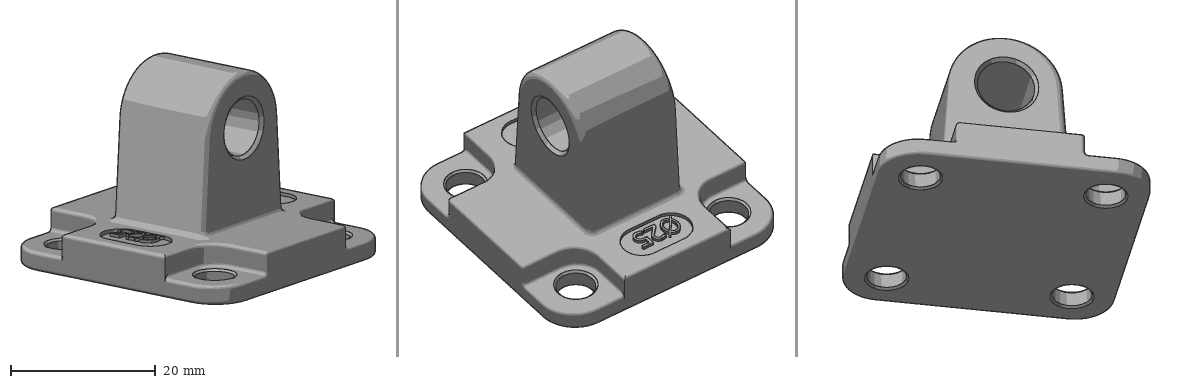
import cadquery as cq
import math

PLATE_SIDE = 38.0
PLATE_HEIGHT = 6.0
PLATE_CORNER_RADIUS = 5.5
EDGE_ROUND = 0.5

HOLE_OFFSET = 13.0
HOLE_DIAMETER = 5.5
HOLE_CHAMFER = 0.3
STEP_HEIGHT = 2.7
STEP_WALL_RADIUS = 4.0
STEP_WALL = HOLE_OFFSET - STEP_WALL_RADIUS
RIM_DIAGONAL = PLATE_SIDE / 2 - PLATE_CORNER_RADIUS * (1 - math.sqrt(0.5))

TOTAL_HEIGHT = 28.0
LUG_WIDTH = 16.0
LUG_TOP_RADIUS = LUG_WIDTH / 2
LUG_TAPER = 4.0
LUG_EDGE_ROUND = 1.0
LUG_FOOT_ROUND = 1.0
SEAM_REACH = 10.25
SEAM_MARGIN = 0.2
BORE_DIAMETER = 8.0
BORE_CHAMFER = 0.5
BORE_HEIGHT = TOTAL_HEIGHT - LUG_TOP_RADIUS

RECESS_LENGTH = 11.0
RECESS_WIDTH = 6.0
RECESS_DEPTH = 0.5
RECESS_OFFSET = 14.0

CHARACTER_HEIGHT = 0.4
RING_HALF_WIDTH = 1.3
RING_HALF_LENGTH = 1.55
RING_STROKE = 0.35
SLASH_LENGTH = 4.18
SLASH_WIDTH = 0.25
SLASH_ANGLE = 53.0
RING_OFFSET = -2.35
TWO_OFFSET = 0.23
FIVE_OFFSET = 2.47

SIDES = (-1, 1)
CORNERS = [(side_x, side_y) for side_x in SIDES for side_y in SIDES]


def make_plate():
    """Square plate with round corners and a rounded bottom rim."""
    return (
        cq.Workplane("XY")
        .rect(PLATE_SIDE, PLATE_SIDE)
        .extrude(PLATE_HEIGHT)
        .edges("|Z")
        .fillet(PLATE_CORNER_RADIUS)
        .faces("<Z")
        .edges()
        .fillet(EDGE_ROUND)
    )


def corner_step(side_x, side_y):
    """Body removed above one corner floor, with its floor edge rounded."""
    outer = PLATE_SIDE / 2 + STEP_WALL_RADIUS
    size = outer - STEP_WALL
    middle = (STEP_WALL + outer) / 2
    return (
        cq.Workplane("XY", origin=(side_x * middle, side_y * middle, STEP_HEIGHT))
        .rect(size, size)
        .extrude(PLATE_HEIGHT)
        .edges("|Z")
        .fillet(STEP_WALL_RADIUS)
        .faces("<Z")
        .edges()
        .fillet(EDGE_ROUND)
    )


def make_stepped_plate():
    """Plate with four low corners and all its edges rounded."""
    plate = make_plate()
    for side_x, side_y in CORNERS:
        plate = plate.cut(corner_step(side_x, side_y))

    rounded = plate
    for side_x, side_y in CORNERS:
        rim_middle = (side_x * RIM_DIAGONAL, side_y * RIM_DIAGONAL, STEP_HEIGHT)
        rounded = rounded.edges(cq.NearestToPointSelector(rim_middle)).fillet(EDGE_ROUND)

    middle_strip = cq.Workplane("XY").rect(2 * STEP_WALL, PLATE_SIDE).extrude(PLATE_HEIGHT)
    rounded = rounded.union(plate.intersect(middle_strip))
    return rounded.faces(">Z").edges().fillet(EDGE_ROUND)


def make_lug():
    """Tapered lug with a round top, reaching down into the plate."""
    taper = math.radians(LUG_TAPER)
    tangent_y = LUG_TOP_RADIUS * math.cos(taper)
    tangent_z = BORE_HEIGHT + LUG_TOP_RADIUS * math.sin(taper)
    foot_y = tangent_y + (tangent_z - STEP_HEIGHT) * math.tan(taper)
    return (
        cq.Workplane("YZ", origin=(-LUG_WIDTH / 2, 0, 0))
        .moveTo(-foot_y, STEP_HEIGHT)
        .lineTo(-tangent_y, tangent_z)
        .threePointArc((0, TOTAL_HEIGHT), (tangent_y, tangent_z))
        .lineTo(foot_y, STEP_HEIGHT)
        .close()
        .extrude(LUG_WIDTH)
        .faces("<X or >X")
        .edges("not #Z")
        .fillet(LUG_EDGE_ROUND)
    )


def add_lug(plate):
    """Join the lug to the plate and round the seam at its foot."""
    joined = plate.union(make_lug())
    seam_box = cq.selectors.BoxSelector(
        (-STEP_WALL, -SEAM_REACH, PLATE_HEIGHT - SEAM_MARGIN),
        (STEP_WALL, SEAM_REACH, PLATE_HEIGHT + SEAM_MARGIN),
    )
    return joined.edges(seam_box).fillet(LUG_FOOT_ROUND)


def chamfered_hole(diameter, chamfer, length):
    """Cutter along +Z from the origin, widened by a chamfer at both ends."""
    radius = diameter / 2
    return (
        cq.Workplane("XZ")
        .polyline([
            (0, 0),
            (radius + chamfer, 0),
            (radius, chamfer),
            (radius, length - chamfer),
            (radius + chamfer, length),
            (0, length),
        ])
        .close()
        .revolve(360, (0, 0, 0), (0, 1, 0))
    )


def cut_bore(housing):
    """Through bore along X, chamfered at both ends."""
    bore = chamfered_hole(BORE_DIAMETER, BORE_CHAMFER, LUG_WIDTH)
    along_x = bore.rotate((0, 0, 0), (0, 1, 0), 90)
    return housing.cut(along_x.translate((-LUG_WIDTH / 2, 0, BORE_HEIGHT)))


def cut_mounting_holes(housing):
    """Through holes in the corners, chamfered at the floor and at the bottom."""
    hole = chamfered_hole(HOLE_DIAMETER, HOLE_CHAMFER, STEP_HEIGHT)
    for side_x, side_y in CORNERS:
        housing = housing.cut(hole.translate((side_x * HOLE_OFFSET, side_y * HOLE_OFFSET, 0)))
    return housing


def cut_recesses(housing):
    """Shallow oblong recesses in the plate top, in front of and behind the lug."""
    recesses = (
        cq.Workplane("XY", origin=(0, 0, PLATE_HEIGHT))
        .pushPoints([(0, side_y * RECESS_OFFSET) for side_y in SIDES])
        .slot2D(RECESS_LENGTH, RECESS_WIDTH)
        .extrude(-RECESS_DEPTH)
    )
    return housing.cut(recesses)


def make_housing():
    housing = add_lug(make_stepped_plate())
    housing = cut_bore(housing)
    housing = cut_mounting_holes(housing)
    return cut_recesses(housing)


def make_slashed_ring():
    """Oval ring crossed by a narrow bar."""
    ring = (
        cq.Workplane("XY")
        .ellipse(RING_HALF_WIDTH, RING_HALF_LENGTH)
        .ellipse(RING_HALF_WIDTH - RING_STROKE, RING_HALF_LENGTH - RING_STROKE)
        .extrude(CHARACTER_HEIGHT)
    )
    slash = cq.Workplane("XY").rect(SLASH_LENGTH, SLASH_WIDTH).extrude(CHARACTER_HEIGHT)
    return ring.union(slash.rotate((0, 0, 0), (0, 0, 1), SLASH_ANGLE))


def make_two():
    return (
        cq.Workplane("XY")
        .moveTo(-0.9, -1.52)
        .lineTo(0.9, -1.52)
        .lineTo(0.9, -1.15)
        .lineTo(-0.4, -1.15)
        .lineTo(0.6, -0.05)
        .threePointArc((0.57, 1.25), (-0.1, 1.55))
        .lineTo(-0.9, 1.35)
        .lineTo(-0.9, 0.95)
        .lineTo(-0.1, 1.18)
        .threePointArc((0.4, 0.8), (0.25, 0.15))
        .lineTo(-0.9, -1.05)
        .close()
        .extrude(CHARACTER_HEIGHT)
    )


def make_five():
    return (
        cq.Workplane("XY")
        .moveTo(-0.85, 1.55)
        .lineTo(0.87, 1.55)
        .lineTo(0.87, 1.18)
        .lineTo(-0.38, 1.18)
        .lineTo(-0.38, 0.35)
        .threePointArc((0.87, -0.6), (-0.08, -1.6))
        .lineTo(-0.95, -1.4)
        .lineTo(-0.95, -1.0)
        .lineTo(-0.08, -1.18)
        .threePointArc((0.5, -0.6), (-0.08, 0.0))
        .lineTo(-0.85, 0.0)
        .close()
        .extrude(CHARACTER_HEIGHT)
    )


def place_character(character, offset):
    """Turn a character to read from the +Y side, level with the plate top over the -Y recess."""
    return (
        character
        .translate((offset, 0, 0))
        .rotate((0, 0, 0), (0, 0, 1), 180)
        .translate((0, -RECESS_OFFSET, PLATE_HEIGHT))
    )


housing = make_housing()
slashed_ring = place_character(make_slashed_ring(), RING_OFFSET)
two = place_character(make_two(), TWO_OFFSET)
five = place_character(make_five(), FIVE_OFFSET)

result = cq.Compound.makeCompound([housing.val(), slashed_ring.val(), two.val(), five.val()])